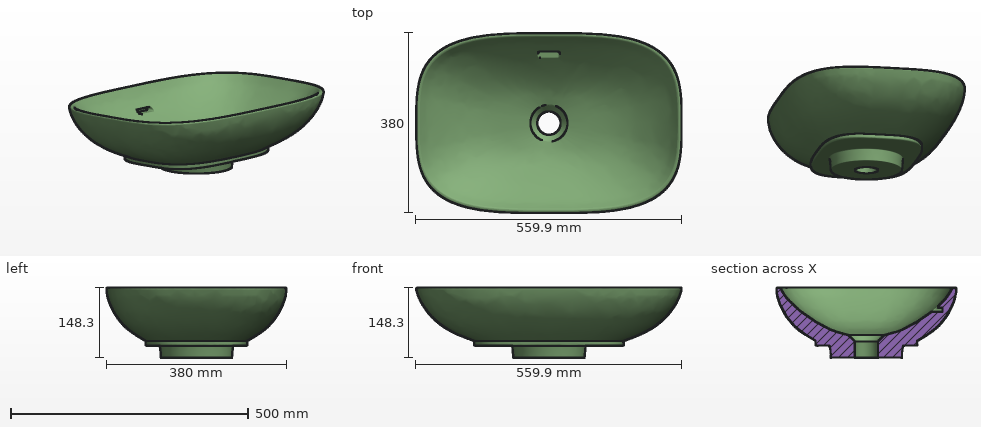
import cadquery as cq
import math

LENGTH = 560.07
WIDTH = 380.04
HEIGHT = 148.34

PLAN_EXPONENT = 3.35
POINTS_PER_OUTLINE = 32

RIM_WIDTH = 8.2
RIM_FILLET = 4.3
RIM_TRIM = 1.0
RIM_HALF_LENGTH = LENGTH / 2 + RIM_TRIM
RIM_HALF_WIDTH = WIDTH / 2
BOWL_DEPTH = 100.0
OUTER_STATIONS = [
    (0.0, RIM_HALF_LENGTH, RIM_HALF_WIDTH, PLAN_EXPONENT),
    (26.0, 272.3, 186.0, 3.35),
    (52.0, 256.0, 174.5, 3.3),
    (76.0, 232.0, 157.5, 3.2),
    (96.0, 200.0, 134.5, 3.1),
    (114.0, 155.5, 106.0, 3.0),
]

DRAIN_DIAMETER = 48.76
DRAIN_RIM_DIAMETER = 74.5
DRAIN_LIP_DEPTH = 1.0
DRAIN_CONE_DEPTH = 13.6
DRAIN_FLOOR_RADIUS = 39.0
INNER_STATIONS = [
    (0.0, RIM_HALF_LENGTH - RIM_WIDTH, RIM_HALF_WIDTH - RIM_WIDTH, PLAN_EXPONENT),
    (25.0, 250.0, 165.5, 3.2),
    (51.5, 215.0, 137.0, 3.0),
    (78.0, 163.0, 97.0, 2.7),
    (92.0, 105.0, 67.0, 2.3),
    (BOWL_DEPTH, DRAIN_FLOOR_RADIUS, DRAIN_FLOOR_RADIUS, 2.0),
]

FOOT_LENGTH = 316.0
FOOT_WIDTH = 215.0
FOOT_BOTTOM = 25.3
FOOT_TOP = 35.5
FOOT_TOP_FILLET = 2.0
FOOT_BOTTOM_FILLET = 3.0
COLLAR_TOP_RADIUS = 77.5
COLLAR_BOTTOM_RADIUS = 75.2
COLLAR_ROOT_FILLET = 1.5
COLLAR_EDGE_FILLET = 1.0

SLOT_LENGTH = 46.0
SLOT_HEIGHT = 8.0
SLOT_DEPTH_BELOW_RIM = 47.0
SLOT_START_Y = 100.0
SLOT_END_Y = 160.0
SLOT_EDGE_FILLET = 2.0


def superellipse(half_length, half_width, exponent, z):
    """Closed horizontal superellipse wire at height z."""
    power = 2 / exponent
    points = []
    for i in range(POINTS_PER_OUTLINE):
        angle = 2 * math.pi * i / POINTS_PER_OUTLINE
        cosine = math.cos(angle)
        sine = math.sin(angle)
        x = half_length * math.copysign(abs(cosine) ** power, cosine)
        y = half_width * math.copysign(abs(sine) ** power, sine)
        points.append(cq.Vector(x, y, z))
    return cq.Wire.assembleEdges([cq.Edge.makeSpline(points, periodic=True)])


def bowl_loft(stations):
    """Smooth solid through superellipse sections listed by depth below the rim."""
    sections = [superellipse(a, b, n, HEIGHT - depth) for depth, a, b, n in stations]
    return cq.Workplane(cq.Solid.makeLoft(sections))


def make_foot():
    """Flat foot with rounded upper and lower edges."""
    outline = superellipse(FOOT_LENGTH / 2, FOOT_WIDTH / 2, PLAN_EXPONENT, FOOT_BOTTOM)
    height = cq.Vector(0, 0, FOOT_TOP - FOOT_BOTTOM)
    foot = cq.Workplane(cq.Solid.extrudeLinear(outline, [], height))
    foot = foot.faces(">Z").edges().fillet(FOOT_TOP_FILLET)
    return foot.faces("<Z").edges().fillet(FOOT_BOTTOM_FILLET)


def make_collar():
    """Slightly tapered round collar, flared where it meets the foot."""
    root = COLLAR_ROOT_FILLET
    profile = (
        cq.Workplane("XZ")
        .moveTo(0, 0)
        .lineTo(COLLAR_BOTTOM_RADIUS, 0)
        .lineTo(COLLAR_TOP_RADIUS, FOOT_BOTTOM - root)
        .radiusArc((COLLAR_TOP_RADIUS + root, FOOT_BOTTOM), root)
        .lineTo(COLLAR_TOP_RADIUS + root, FOOT_TOP - FOOT_TOP_FILLET)
        .lineTo(0, FOOT_TOP - FOOT_TOP_FILLET)
        .close()
    )
    collar = profile.revolve(360, (0, 0, 0), (0, 1, 0))
    return collar.faces("<Z").edges().fillet(COLLAR_EDGE_FILLET)


def make_drain():
    """Conical drain seat with a bevelled lip, and the hole through the collar."""
    floor = HEIGHT - BOWL_DEPTH
    lip_radius = DRAIN_RIM_DIAMETER / 2
    hole_radius = DRAIN_DIAMETER / 2
    profile = (
        cq.Workplane("XZ")
        .moveTo(0, 0)
        .lineTo(hole_radius, 0)
        .lineTo(hole_radius, floor - DRAIN_CONE_DEPTH)
        .lineTo(lip_radius, floor - DRAIN_LIP_DEPTH)
        .lineTo(DRAIN_FLOOR_RADIUS, floor)
        .lineTo(0, floor)
        .close()
    )
    return profile.revolve(360, (0, 0, 0), (0, 1, 0))


def make_slot():
    """Horizontal round-ended cutter for the overflow."""
    return (
        cq.Workplane("XZ", origin=(0, SLOT_START_Y, HEIGHT - SLOT_DEPTH_BELOW_RIM))
        .slot2D(SLOT_LENGTH, SLOT_HEIGHT)
        .extrude(SLOT_START_Y - SLOT_END_Y)
    )


def round_slot_mouth(body):
    """Round the edge where the overflow slot opens into the bowl."""
    slot_z = HEIGHT - SLOT_DEPTH_BELOW_RIM
    mouth_box = cq.selectors.BoxSelector(
        (-SLOT_LENGTH, SLOT_START_Y, slot_z - SLOT_HEIGHT),
        (SLOT_LENGTH, SLOT_END_Y - SLOT_EDGE_FILLET, slot_z + SLOT_HEIGHT),
    )
    along_y = cq.selectors.ParallelDirSelector(cq.Vector(0, 1, 0))
    return body.edges(mouth_box - along_y).fillet(SLOT_EDGE_FILLET)


body = bowl_loft(OUTER_STATIONS).union(make_foot()).union(make_collar())
body = body.cut(bowl_loft(INNER_STATIONS))
body = body.faces(">Z").edges().fillet(RIM_FILLET)
body = body.cut(make_drain()).cut(make_slot())
result = round_slot_mouth(body)